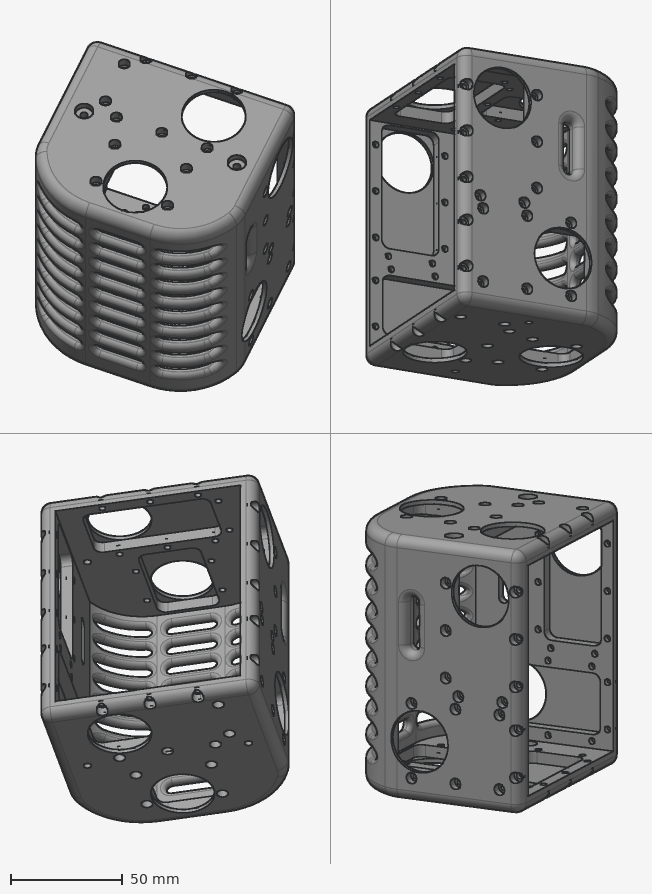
import cadquery as cq
import math

WIDTH = 100.0
DEPTH = 90.5
HEIGHT = 122.1
EDGE_RADIUS = 5.0

FRONT_FLAT_HALF = 15.6
FRONT_RADIUS = 36.0
CORNER_RADIUS = 16.5

SIDE_WALL = 7.5
PLATE = 7.5
FRONT_WALL = 5.0
CAVITY_FRONT_RADIUS = 30.0
PANEL = 2.0

SLOT_LENGTH = 23.2
SLOT_HEIGHT = 5.2
SLOT_OUTER_ROUND = 2.5
SLOT_INNER_ROUND = 2.4
SLOT_ROWS = 9
SLOT_ROW_PITCH = 11.2
SLOT_CENTRE_Z = 1.1
SLOT_COLUMN_PITCH = 29.9

CABLE_SLOT_LENGTH = 25.0
CABLE_SLOT_WIDTH = 5.0
CABLE_SLOT_ROUND = 4.0
CABLE_SLOT_Y = -9.6
CABLE_SLOT_Z = 21.0

OPENING_DIAMETER = 28.6
POCKET_WIDTH = OPENING_DIAMETER
POCKET_CORNER = 4.0
SCREW_PITCH = 22.0
SCREW_ROW_SPACING = 34.65
SCREW_OFFSET = 4.0
POCKET_STEP = 15.0

PLATE_STATIONS = [(17.6, 25.0, (-1, 0), 3), (0.0, -24.4, (0, 1), 2)]
SIDE_STATIONS = [(24.9, 38.4, (0, -1), 3), (-5.5, -32.8, (1, 0), 3)]

PLATE_EXTRA_SCREWS = [(-30.3, 36.0), (-30.3, 14.0)]
SIDE_EXTRA_SCREWS = [(35.9, -9.5), (13.9, -9.5), (42.3, -21.9), (42.3, -43.8)]

SCREW_HOLE = 2.9
SCREW_HEAD = 5.1
SCREW_HEAD_DEPTH = 4.5
MOUNT_HOLE = 3.4
MOUNT_HEAD = 8.3
MOUNT_HEAD_DEPTH = 3.3
MOUNT_X = 37.0
MOUNT_Y = 5.2

PICK_MARGIN = 0.1

HALF_W = WIDTH / 2
HALF_D = DEPTH / 2
HALF_H = HEIGHT / 2
FRONT_ARC_Y = FRONT_RADIUS - HALF_D
CAVITY_FRONT_Y = FRONT_WALL - HALF_D
CAVITY_ARC_Y = CAVITY_FRONT_Y + CAVITY_FRONT_RADIUS


def outer_block():
    """Solid envelope with all outer edges but the front ones rounded."""
    corner_x = HALF_W - CORNER_RADIUS
    run = corner_x - FRONT_FLAT_HALF
    centre_gap = FRONT_RADIUS - CORNER_RADIUS
    drop = math.sqrt(centre_gap**2 - run**2)
    corner_y = FRONT_ARC_Y - drop
    ux = run / centre_gap
    uy = -drop / centre_gap
    meet_x = FRONT_FLAT_HALF + FRONT_RADIUS * ux
    meet_y = FRONT_ARC_Y + FRONT_RADIUS * uy

    front_mid = (math.atan2(uy, ux) - math.pi / 2) / 2
    corner_mid = math.atan2(uy, ux) / 2
    front_pt = (
        FRONT_FLAT_HALF + FRONT_RADIUS * math.cos(front_mid),
        FRONT_ARC_Y + FRONT_RADIUS * math.sin(front_mid),
    )
    corner_pt = (
        corner_x + CORNER_RADIUS * math.cos(corner_mid),
        corner_y + CORNER_RADIUS * math.sin(corner_mid),
    )
    block = (
        cq.Workplane("XY", origin=(0, 0, -HALF_H))
        .moveTo(-FRONT_FLAT_HALF, -HALF_D)
        .lineTo(FRONT_FLAT_HALF, -HALF_D)
        .threePointArc(front_pt, (meet_x, meet_y))
        .threePointArc(corner_pt, (HALF_W, corner_y))
        .lineTo(HALF_W, HALF_D)
        .lineTo(-HALF_W, HALF_D)
        .lineTo(-HALF_W, corner_y)
        .threePointArc((-corner_pt[0], corner_pt[1]), (-meet_x, meet_y))
        .threePointArc((-front_pt[0], front_pt[1]), (-FRONT_FLAT_HALF, -HALF_D))
        .close()
        .extrude(HEIGHT)
    )
    return block.edges("<Z or >Z or (|Z and >Y)").fillet(EDGE_RADIUS)


def cavity():
    """Interior space, open at the back."""
    half_w = HALF_W - SIDE_WALL
    radius = CAVITY_FRONT_RADIUS
    end_angle = -math.acos((half_w - FRONT_FLAT_HALF) / radius)
    mid_angle = (end_angle - math.pi / 2) / 2
    end_y = CAVITY_ARC_Y + radius * math.sin(end_angle)
    mid_x = FRONT_FLAT_HALF + radius * math.cos(mid_angle)
    mid_y = CAVITY_ARC_Y + radius * math.sin(mid_angle)
    height = HEIGHT - 2 * PLATE
    return (
        cq.Workplane("XY", origin=(0, 0, -height / 2))
        .moveTo(-FRONT_FLAT_HALF, CAVITY_FRONT_Y)
        .lineTo(FRONT_FLAT_HALF, CAVITY_FRONT_Y)
        .threePointArc((mid_x, mid_y), (half_w, end_y))
        .lineTo(half_w, HALF_D)
        .lineTo(-half_w, HALF_D)
        .lineTo(-half_w, end_y)
        .threePointArc((-mid_x, mid_y), (-FRONT_FLAT_HALF, CAVITY_FRONT_Y))
        .close()
        .extrude(height)
    )


def slot_rim(wall, x, arc_y, arc_radius):
    """Edges where the slot at x opens through the front surface with the given arcs."""
    reach_x = SLOT_LENGTH / 2 + PICK_MARGIN
    reach_z = SLOT_HEIGHT / 2 + PICK_MARGIN
    slot_box = cq.selectors.BoxSelector(
        (x - reach_x, -HALF_D - PICK_MARGIN, -reach_z),
        (x + reach_x, 0, reach_z),
        boundingbox=True,
    )

    def on_surface(edge):
        point = edge.positionAt(0.5)
        beyond_flat = max(abs(point.x) - FRONT_FLAT_HALF, 0)
        return abs(math.hypot(beyond_flat, point.y - arc_y) - arc_radius) < PICK_MARGIN

    edges = wall.edges(slot_box).edges("not |Y").vals()
    return wall.newObject([edge for edge in edges if on_surface(edge)])


def vent_row(shell):
    """Tool that cuts one row of three slots with both rims rounded."""
    strip = cq.Workplane("XY").box(WIDTH, DEPTH, SLOT_ROW_PITCH).translate((0, -HALF_D, 0))
    plain_wall = shell.intersect(strip)
    wall = plain_wall
    for column in (-1, 0, 1):
        x = column * SLOT_COLUMN_PITCH
        slot = (
            cq.Workplane("XZ", origin=(x, 0, 0))
            .slot2D(SLOT_LENGTH, SLOT_HEIGHT)
            .extrude(DEPTH)
        )
        wall = wall.cut(slot)
        wall = slot_rim(wall, x, FRONT_ARC_Y, FRONT_RADIUS).fillet(SLOT_OUTER_ROUND)
        wall = slot_rim(wall, x, CAVITY_ARC_Y, CAVITY_FRONT_RADIUS).fillet(SLOT_INNER_ROUND)
    return plain_wall.cut(wall)


def vent_slots(body, shell):
    """Cut all rows of front slots into the body; the shell is its plain form."""
    row_tool = vent_row(shell)
    lowest = SLOT_CENTRE_Z - (SLOT_ROWS - 1) / 2 * SLOT_ROW_PITCH
    rows = []
    for row in range(SLOT_ROWS):
        rows += row_tool.translate((0, 0, lowest + row * SLOT_ROW_PITCH)).solids().vals()
    return body.cut(cq.Workplane(cq.Compound.makeCompound(rows)), clean=False)


def cable_slots(body):
    """One upright slot through each side wall with a rounded outer rim."""
    for side in (-1, 1):
        face_x = side * HALF_W
        slot = (
            cq.Workplane("YZ", origin=(face_x, 0, 0))
            .center(CABLE_SLOT_Y, CABLE_SLOT_Z)
            .slot2D(CABLE_SLOT_LENGTH, CABLE_SLOT_WIDTH, 90)
            .extrude(-side * SIDE_WALL)
        )
        body = body.cut(slot)
        reach_y = CABLE_SLOT_WIDTH / 2 + PICK_MARGIN
        reach_z = CABLE_SLOT_LENGTH / 2 + PICK_MARGIN
        rim = cq.selectors.BoxSelector(
            (face_x - PICK_MARGIN, CABLE_SLOT_Y - reach_y, CABLE_SLOT_Z - reach_z),
            (face_x + PICK_MARGIN, CABLE_SLOT_Y + reach_y, CABLE_SLOT_Z + reach_z),
            boundingbox=True,
        )
        body = body.edges(rim).fillet(CABLE_SLOT_ROUND)
    return body


def screw_points(stations):
    """Screw positions of the given stations."""
    points = []
    for u, v, (du, dv), count in stations:
        for row in (-1, 1):
            for index in range(count):
                along = index * SCREW_PITCH - SCREW_OFFSET
                across = row * SCREW_ROW_SPACING / 2
                points.append((u + du * along - dv * across, v + dv * along + du * across))
    return points


def connector_pocket(panel_back, depth, station):
    """Round-cornered pocket that starts at the opening's edge and runs past it."""
    u, v, (du, dv), count = station
    extra = (count - 1) * POCKET_STEP
    size_u = POCKET_WIDTH + abs(du) * extra
    size_v = POCKET_WIDTH + abs(dv) * extra
    outline = cq.Sketch().rect(size_u, size_v).vertices().fillet(POCKET_CORNER)
    centre = (u + du * extra / 2, v + dv * extra / 2)
    return panel_back.center(*centre).placeSketch(outline).extrude(depth)


def cut_wall(body, outer, inward, wall, stations, extra_screws):
    """Openings, inner pockets and counterbored screws of one flat wall.

    outer is a workplane on the outside face; inward (1 or -1) is the
    direction along its normal that leads into the housing.
    """
    panel_back = outer.workplane(offset=inward * PANEL)
    openings = [(u, v) for u, v, _, _ in stations]
    body = body.cut(outer.pushPoints(openings).circle(OPENING_DIAMETER / 2).extrude(inward * wall))
    for station in stations:
        body = body.cut(connector_pocket(panel_back, inward * (wall - PANEL), station))
    screws = outer.pushPoints(screw_points(stations) + extra_screws)
    body = body.cut(screws.circle(SCREW_HOLE / 2).extrude(inward * wall))
    return body.cut(screws.circle(SCREW_HEAD / 2).extrude(inward * SCREW_HEAD_DEPTH))


def mount_screws(body):
    """Vertical screws, counterbored from above in both plates."""
    for top_z in (HALF_H, PLATE - HALF_H):
        face = cq.Workplane("XY", origin=(0, 0, top_z))
        holes = face.pushPoints([(-MOUNT_X, MOUNT_Y), (MOUNT_X, MOUNT_Y)])
        body = body.cut(holes.circle(MOUNT_HOLE / 2).extrude(-PLATE))
        body = body.cut(holes.circle(MOUNT_HEAD / 2).extrude(-MOUNT_HEAD_DEPTH))
    return body


plain_shell = outer_block().cut(cavity())
housing = cable_slots(plain_shell)
for end in (-1, 1):
    plate_face = cq.Workplane("XY", origin=(0, 0, end * HALF_H))
    side_face = cq.Workplane("YZ", origin=(end * HALF_W, 0, 0))
    housing = cut_wall(housing, plate_face, -end, PLATE, PLATE_STATIONS, PLATE_EXTRA_SCREWS)
    housing = cut_wall(housing, side_face, -end, SIDE_WALL, SIDE_STATIONS, SIDE_EXTRA_SCREWS)
housing = mount_screws(housing)

result = vent_slots(housing, plain_shell)